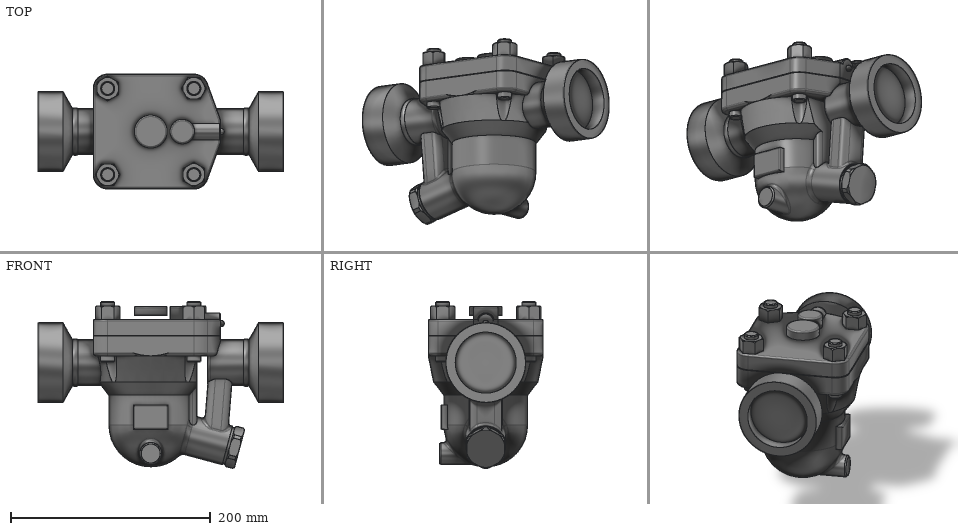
import cadquery as cq
import math

EDGE_SAMPLES = (0, 0.25, 0.5, 0.75, 1)
TOLERANCE = 0.01
END_MARGIN = 2.0


FLANGE_HALF = 57.5
FLANGE_TOP = 43.4
FLANGE_BOTTOM = 6.8
JOINT_Z = 27.0
JOINT_WIDTH = 0.6
JOINT_DEPTH = 0.3
NOSE_X = 69.7
NOSE_ANGLE = 20
NOSE_BEVEL_TOP = 21.3
NOSE_BEVEL_INSET = 4.2
TOP_ROUND = 1.8
BOTTOM_ROUND = 3.0

BOLT_OFFSET = 61 / math.sqrt(2)
CORNER_RADIUS = FLANGE_HALF - BOLT_OFFSET
STUD_RADIUS = 7.0
STUD_TOP = 61.0
STUD_BOTTOM = 0.8
STUD_CHAMFER = 1.0
NUT_ACROSS_FLATS = 21.5
NUT_TOP = 56.8
NUT_CHAMFER = 1.3
BOLT_CLEARANCE_RADIUS = 9.0

UPPER_RADIUS = 57.5
SHOULDER_RADIUS = 52.3
SHOULDER_Z = -19.2
BOWL_RADIUS = 42.0
NECK_Z = -32.6
DOME_Z = -62.3
FLARE_RADIUS = 60.2
RIB_X = 46.2
RIB_HALF_WIDTH = 17.0
RIB_ROUND = 4.6

INLET_END = -113.0
OVERALL_LENGTH = 246.0
OUTLET_END = INLET_END + OVERALL_LENGTH
END_RADIUS = 40.0
END_FACE_RADIUS = 79.5 / 2
END_CHAMFER = 1.0
SOCKET_RADIUS = 61.1 / 2
SOCKET_DEPTH = 14.0
PIPE_RADIUS = 23.0
WELD_RADIUS = 23.8
RIM_LENGTH = 25.0
TAPER_LENGTH = 34.7
WELD_LENGTH = 40.0
OUTLET_PIPE_START = 56.8
OUTLET_PIPE_ROUND = 3.0

BRANCH_TILT = 15
BRANCH_RADIUS = 20.0
BRANCH_END = 79.4
BRANCH_BLEND = 6.0
PLUG_NECK_RADIUS = 19.0
HEX_START = 82.0
HEX_END = 92.05
HEX_ACROSS_FLATS = 38.0
HEX_ENVELOPE_RADIUS = 20.9
HEX_CHAMFER = 1.5

LEG_TILT = 4.6
LEG_THICKNESS = 24.0
LEG_WIDTH = 32.0
LEG_ROUND = 7.2
LEG_FOOT_X = 64.6
LEG_FOOT_Z = -78.0
LEG_LENGTH = 70.0
LEG_BLEND = 3.0

DRAIN_Z = -91.0
DRAIN_RADIUS = 11.0
DRAIN_FACE_Y = -46.5
DRAIN_CHAMFER = 1.5
DRAIN_BLEND = 3.0
PLATE_LENGTH = 35.0
PLATE_TOP = -42.2
PLATE_BOTTOM = -66.7
PLATE_FACE_Y = -44.8
PLATE_ROUND = 1.2
KNOB_X = 31.6
KNOB_RADIUS = 12.3
CAP_RADIUS = 16.5
CAP_TOP = 56.4
CAP_BOTTOM = 47.3
CAP_ROUND = 1.5
CHANNEL_RADIUS = 8.5
CHANNEL_Z = 41.2
CHANNEL_CHAMFER = 1.0
SCREW_RADIUS = 3.2
SCREW_TIP_X = 73.6
SCREW_Z = 39.2


def flange_outline():
    """Rounded square whose +X side tapers to a narrow nose."""
    slope = math.radians(NOSE_ANGLE)
    arc_x = BOLT_OFFSET + CORNER_RADIUS * math.cos(slope)
    arc_y = BOLT_OFFSET + CORNER_RADIUS * math.sin(slope)
    half = math.radians((90 + NOSE_ANGLE) / 2)
    mid_x = BOLT_OFFSET + CORNER_RADIUS * math.cos(half)
    mid_y = BOLT_OFFSET + CORNER_RADIUS * math.sin(half)
    nose_y = arc_y - (NOSE_X - arc_x) / math.tan(slope)
    corner_mid = BOLT_OFFSET + CORNER_RADIUS * math.sqrt(0.5)
    return (
        cq.Workplane("XY")
        .moveTo(-BOLT_OFFSET, -FLANGE_HALF)
        .lineTo(BOLT_OFFSET, -FLANGE_HALF)
        .threePointArc((mid_x, -mid_y), (arc_x, -arc_y))
        .lineTo(NOSE_X, -nose_y)
        .lineTo(NOSE_X, nose_y)
        .lineTo(arc_x, arc_y)
        .threePointArc((mid_x, mid_y), (BOLT_OFFSET, FLANGE_HALF))
        .lineTo(-BOLT_OFFSET, FLANGE_HALF)
        .threePointArc((-corner_mid, corner_mid), (-FLANGE_HALF, BOLT_OFFSET))
        .lineTo(-FLANGE_HALF, -BOLT_OFFSET)
        .threePointArc((-corner_mid, -corner_mid), (-BOLT_OFFSET, -FLANGE_HALF))
        .close()
    )


def flange_blank():
    height = FLANGE_TOP - FLANGE_BOTTOM
    return flange_outline().extrude(height).translate((0, 0, FLANGE_BOTTOM))


def joint_groove():
    """Fine line around the rim where cover and body faces meet."""
    outer = flange_outline().extrude(JOINT_WIDTH)
    inner = flange_outline().offset2D(-JOINT_DEPTH).extrude(JOINT_WIDTH)
    return outer.cut(inner).translate((0, 0, JOINT_Z - JOINT_WIDTH / 2))


def flange():
    """Rounded flange with its nose bevelled underneath."""
    nose_bevel = (
        cq.Workplane("XZ")
        .moveTo(NOSE_X, NOSE_BEVEL_TOP)
        .lineTo(NOSE_X, FLANGE_BOTTOM)
        .lineTo(NOSE_X - NOSE_BEVEL_INSET, FLANGE_BOTTOM)
        .close()
        .extrude(FLANGE_HALF, both=True)
    )
    blank = flange_blank().faces(">Z").edges().fillet(TOP_ROUND)
    blank = blank.cut(nose_bevel).faces("<Z").edges().fillet(BOTTOM_ROUND)
    return blank.cut(joint_groove())


def bowl():
    """Revolved bowl, flat on its +X side, flared into the flange and trimmed to its sides."""
    top_z = FLANGE_BOTTOM + BOTTOM_ROUND
    dome_step = BOWL_RADIUS * math.sqrt(0.5)
    shell = (
        cq.Workplane("XZ")
        .moveTo(0, top_z)
        .lineTo(FLARE_RADIUS, top_z)
        .lineTo(UPPER_RADIUS, FLANGE_BOTTOM)
        .lineTo(SHOULDER_RADIUS, SHOULDER_Z)
        .lineTo(BOWL_RADIUS, NECK_Z)
        .lineTo(BOWL_RADIUS, DOME_Z)
        .threePointArc((dome_step, DOME_Z - dome_step), (0, DOME_Z - BOWL_RADIUS))
        .close()
        .revolve(360, (0, 0), (0, 1))
    )
    trim = (
        cq.Workplane("XY", origin=(0, 0, DOME_Z - BOWL_RADIUS))
        .moveTo(-FLANGE_HALF, -FLANGE_HALF)
        .lineTo(RIB_X, -FLANGE_HALF)
        .lineTo(RIB_X, FLANGE_HALF)
        .lineTo(-FLANGE_HALF, FLANGE_HALF)
        .close()
        .extrude(top_z - DOME_Z + BOWL_RADIUS)
    )
    clearances = (
        cq.Workplane("XY")
        .rect(2 * BOLT_OFFSET, 2 * BOLT_OFFSET, forConstruction=True)
        .vertices()
        .circle(BOLT_CLEARANCE_RADIUS)
        .extrude(NECK_Z - FLANGE_BOTTOM)
        .translate((0, 0, FLANGE_BOTTOM))
    )
    return shell.intersect(trim).cut(clearances)


def rib():
    """Rounded vertical rib between the flattened side and the branch."""
    height = SHOULDER_Z - DOME_Z
    return (
        cq.Workplane("XY", origin=(RIB_X / 2, 0, DOME_Z))
        .rect(RIB_X, 2 * RIB_HALF_WIDTH)
        .extrude(height)
        .edges("|Z and >X")
        .fillet(RIB_ROUND)
    )


def branch_plane(distance):
    """Plane across the branch axis at a distance from the dome centre."""
    tilt = math.radians(BRANCH_TILT)
    direction = (math.cos(tilt), 0, -math.sin(tilt))
    origin = (distance * direction[0], 0, DOME_Z + distance * direction[2])
    return cq.Plane(origin=origin, xDir=(0, 1, 0), normal=direction)


def branch():
    return cq.Workplane(branch_plane(0)).circle(BRANCH_RADIUS).extrude(BRANCH_END)


def hexagon(workplane, across_flats, height, turn):
    """Hexagonal prism; turn is the angle of its first corner in degrees."""
    radius = across_flats / math.sqrt(3)
    corners = []
    for index in range(6):
        angle = math.radians(turn + 60 * index)
        corners.append((radius * math.cos(angle), radius * math.sin(angle)))
    return workplane.polyline(corners).close().extrude(height)


def branch_plug():
    """Hexagon plug with turned-down corners on a round neck."""
    neck = cq.Workplane(branch_plane(BRANCH_END)).circle(PLUG_NECK_RADIUS)
    neck = neck.extrude(HEX_START - BRANCH_END)
    thickness = HEX_END - HEX_START
    head = hexagon(cq.Workplane(branch_plane(HEX_START)), HEX_ACROSS_FLATS, thickness, 90)
    envelope = (
        cq.Workplane(branch_plane(HEX_START))
        .circle(HEX_ENVELOPE_RADIUS)
        .extrude(thickness)
        .edges()
        .chamfer(HEX_CHAMFER)
    )
    return neck.union(head.intersect(envelope))


def leg():
    return (
        cq.Workplane("XY")
        .rect(LEG_THICKNESS, LEG_WIDTH)
        .extrude(LEG_LENGTH)
        .edges("|Z")
        .fillet(LEG_ROUND)
        .rotate((0, 0, 0), (0, 1, 0), LEG_TILT)
        .translate((LEG_FOOT_X, 0, LEG_FOOT_Z))
    )


def pipe_end(length):
    """Socket end, taper, weld bead and pipe along +X from the end face at X = 0."""
    weld_mid = (TAPER_LENGTH + WELD_LENGTH) / 2
    return (
        cq.Workplane("XY")
        .moveTo(SOCKET_DEPTH, 0)
        .lineTo(SOCKET_DEPTH, SOCKET_RADIUS)
        .lineTo(0, SOCKET_RADIUS)
        .lineTo(0, END_FACE_RADIUS)
        .lineTo(END_CHAMFER, END_RADIUS)
        .lineTo(RIM_LENGTH, END_RADIUS)
        .lineTo(TAPER_LENGTH, PIPE_RADIUS)
        .threePointArc((weld_mid, WELD_RADIUS), (WELD_LENGTH, PIPE_RADIUS))
        .lineTo(length, PIPE_RADIUS)
        .lineTo(length, 0)
        .close()
        .revolve(360, (0, 0), (1, 0))
    )


def inlet_pipe():
    return pipe_end(-INLET_END).translate((INLET_END, 0, 0))


def outlet_pipe():
    """Mirror image of the inlet, with a rounded inner end clear of the bowl."""
    pipe = pipe_end(OUTLET_END - OUTLET_PIPE_START)
    pipe = pipe.faces(">X").edges().fillet(OUTLET_PIPE_ROUND)
    return pipe.rotate((0, 0, 0), (0, 0, 1), 180).translate((OUTLET_END, 0, 0))


def drain_plane():
    return cq.Plane(origin=(0, 0, DRAIN_Z), xDir=(1, 0, 0), normal=(0, -1, 0))


def drain_boss():
    return (
        cq.Workplane(drain_plane())
        .circle(DRAIN_RADIUS)
        .extrude(-DRAIN_FACE_Y)
        .faces("<Y")
        .edges()
        .chamfer(DRAIN_CHAMFER)
    )


def name_plate():
    centre_z = (PLATE_TOP + PLATE_BOTTOM) / 2
    return (
        cq.Workplane("XZ", origin=(0, 0, centre_z))
        .rect(PLATE_LENGTH, PLATE_TOP - PLATE_BOTTOM)
        .extrude(-PLATE_FACE_Y)
        .faces("<Y")
        .edges()
        .fillet(PLATE_ROUND)
    )


def bolt(turn):
    """Stud with its nut on top of the flange, on the Z axis."""
    stud = (
        cq.Workplane("XY", origin=(0, 0, STUD_BOTTOM))
        .circle(STUD_RADIUS)
        .extrude(STUD_TOP - STUD_BOTTOM)
        .edges()
        .chamfer(STUD_CHAMFER)
    )
    base = cq.Workplane("XY", origin=(0, 0, FLANGE_TOP))
    height = NUT_TOP - FLANGE_TOP
    nut = hexagon(base, NUT_ACROSS_FLATS, height, turn)
    envelope = (
        base.circle(NUT_ACROSS_FLATS / math.sqrt(3))
        .extrude(height)
        .faces(">Z")
        .edges()
        .chamfer(NUT_CHAMFER)
    )
    return stud.union(nut.intersect(envelope))


def knob():
    """Round knob on the cover, over the start of the channel."""
    return (
        cq.Workplane("XY", origin=(KNOB_X, 0, JOINT_Z))
        .circle(KNOB_RADIUS)
        .extrude(CAP_TOP - JOINT_Z)
        .faces(">Z")
        .edges()
        .fillet(CAP_ROUND)
    )


def channel():
    """Half-buried round channel from the knob to the nose."""
    return (
        cq.Workplane("YZ", origin=(KNOB_X, 0, CHANNEL_Z))
        .circle(CHANNEL_RADIUS)
        .extrude(NOSE_X - KNOB_X)
        .faces(">X")
        .edges()
        .chamfer(CHANNEL_CHAMFER)
    )


def screw_tip():
    """Ball end of the screw that stands out of the nose."""
    centre = (SCREW_TIP_X - SCREW_RADIUS, 0, SCREW_Z)
    return cq.Workplane("XY").sphere(SCREW_RADIUS).translate(centre)


def blend_root(solid, plane, radius, start, end, blend):
    """Fillet the edges that lie on a cylinder about the plane's normal, between two heights."""
    root_edges = []
    for edge in solid.edges().vals():
        on_cylinder = True
        for fraction in EDGE_SAMPLES:
            offset = edge.positionAt(fraction) - plane.origin
            height = offset.dot(plane.zDir)
            distance = (offset - plane.zDir * height).Length
            if abs(distance - radius) > TOLERANCE or not start < height < end:
                on_cylinder = False
        if on_cylinder:
            root_edges.append(edge)
    return solid.newObject(root_edges).fillet(blend)


def branch_with_leg():
    """Branch tube and the leg standing on it, blended together."""
    tube = branch().union(leg())
    end = BRANCH_END - END_MARGIN
    return blend_root(tube, branch_plane(0), BRANCH_RADIUS, BOWL_RADIUS, end, LEG_BLEND)


def casting():
    """Bowl with its drain boss, branch, leg and rib, blended where they meet."""
    body = bowl().union(drain_boss())
    drain_end = -DRAIN_FACE_Y - END_MARGIN
    body = blend_root(body, drain_plane(), DRAIN_RADIUS, 0, drain_end, DRAIN_BLEND)
    body = body.union(branch_with_leg())
    body = blend_root(body, branch_plane(0), BRANCH_RADIUS, 0, BOWL_RADIUS, BRANCH_BLEND)
    return body.union(rib())


def valve_body():
    """Complete valve: casting, cover, pipes, plug and bolts as one solid."""
    body = casting().union(flange()).union(channel()).union(knob()).union(screw_tip())
    body = body.union(inlet_pipe()).union(outlet_pipe())
    body = body.union(branch_plug()).union(name_plate())
    for x_sign in (-1, 1):
        for y_sign in (-1, 1):
            first_corner = 90 if x_sign != y_sign else 0
            place = (x_sign * BOLT_OFFSET, y_sign * BOLT_OFFSET, 0)
            body = body.union(bolt(first_corner).translate(place))
    return body


def loose_cap():
    """Disc held above the cover, clear of it."""
    return (
        cq.Workplane("XY", origin=(0, 0, CAP_BOTTOM))
        .circle(CAP_RADIUS)
        .extrude(CAP_TOP - CAP_BOTTOM)
        .faces(">Z")
        .edges()
        .fillet(CAP_ROUND)
    )


valve = valve_body()
cap = loose_cap()
result = cq.Compound.makeCompound([*valve.solids().vals(), cap.val()])